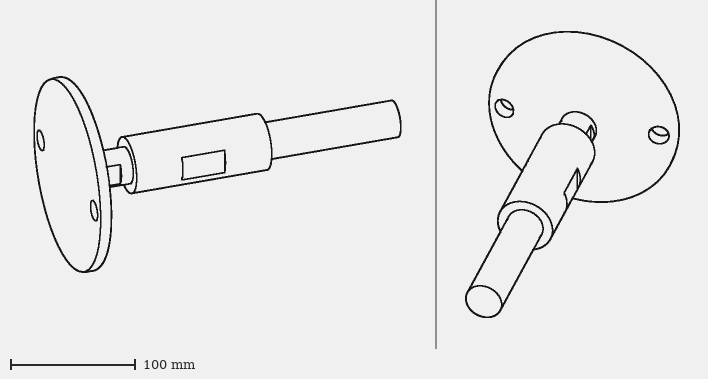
import cadquery as cq
import math

total_length = 279.0
foot_diameter = 158.0
shaft_diameter = 30.0
sleeve_diameter = 46.0

taper_height = 3.5
taper_inset = 0.5
rim_height = 9.5
cone_top = 20.5
rim_fillet = 2.8

hole_diameter = 16.5
hole_offset = 62.8

shaft_flat_start = 26.5
shaft_flat_length = 14.2
shaft_across_flats = 24.5
sleeve_start = 50.8
sleeve_length = 115.2
sleeve_flat_length = 36.3
sleeve_across_flats = 41.3

foot_radius = foot_diameter / 2
shaft_radius = shaft_diameter / 2
cone_angle = math.atan2(cone_top - rim_height, foot_radius - shaft_radius)


def cylinder(diameter, start, length):
    """Cylinder on the Y axis, from y = start."""
    return cq.Workplane("XZ", origin=(0, start, 0)).circle(diameter / 2).extrude(-length)


def cut_flats(body, diameter, across_flats, start, length):
    """Cut two opposite wrench flats facing -X and +X."""
    depth = (diameter - across_flats) / 2
    for side in (-1, 1):
        cutter = cq.Workplane("XY").box(depth, length, diameter).translate(
            (side * (across_flats + depth) / 2, start + length / 2, 0)
        )
        body = body.cut(cutter)
    return body


def cut_fixing_holes(body):
    """Cut the two through holes, leaning outward so that they meet the cone squarely."""
    for side in (-1, 1):
        direction = cq.Vector(side * math.sin(cone_angle), math.cos(cone_angle), 0)
        base = cq.Vector(side * hole_offset, 0, 0) - direction * cone_top
        drill = cq.Solid.makeCylinder(hole_diameter / 2, 3 * cone_top, base, direction)
        body = body.cut(cq.Workplane(obj=drill))
    return body


def make_foot():
    """Conical foot plate and its shaft with wrench flats."""
    profile = [
        (0, 0),
        (foot_radius - taper_inset, 0),
        (foot_radius, taper_height),
        (foot_radius, rim_height),
        (shaft_radius, cone_top),
        (0, cone_top),
    ]
    plate = cq.Workplane("XY").polyline(profile).close().revolve(360, (0, 0, 0), (0, 1, 0))
    rim_edge = cq.selectors.NearestToPointSelector((0, rim_height, 0))
    plate = plate.edges("%CIRCLE").edges(rim_edge).fillet(rim_fillet)
    plate = cut_fixing_holes(plate)
    shaft = cylinder(shaft_diameter, cone_top, total_length - cone_top)
    shaft = cut_flats(shaft, shaft_diameter, shaft_across_flats, shaft_flat_start, shaft_flat_length)
    return plate.union(shaft)


def make_sleeve():
    """Sleeve around the shaft, with wrench flats at mid-length."""
    sleeve = cylinder(sleeve_diameter, sleeve_start, sleeve_length)
    flat_start = sleeve_start + (sleeve_length - sleeve_flat_length) / 2
    sleeve = cut_flats(sleeve, sleeve_diameter, sleeve_across_flats, flat_start, sleeve_flat_length)
    return sleeve.cut(cylinder(shaft_diameter, sleeve_start, sleeve_length))


foot = make_foot()
sleeve = make_sleeve()
result = cq.Compound.makeCompound([foot.val(), sleeve.val()])